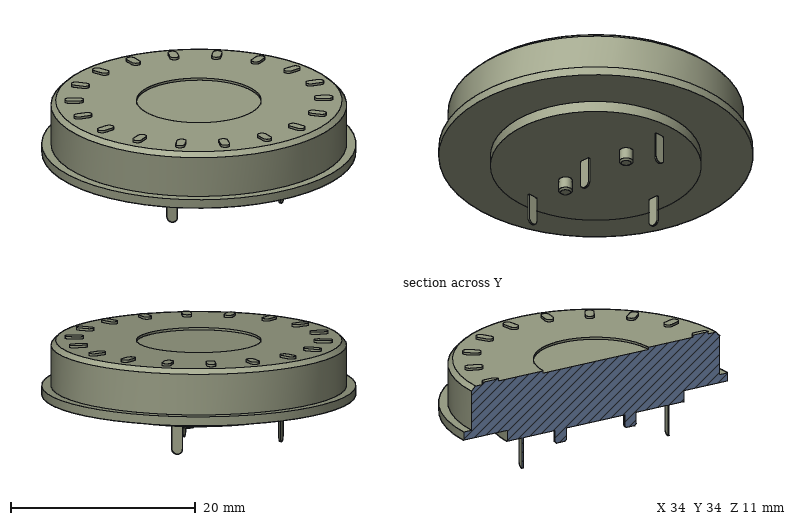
import cadquery as cq

blade_length = 3.5
base_height = 1.25
flange_height = 1.0
body_height = 5.0
rib_height = 0.25

base_bottom = blade_length
flange_bottom = base_bottom + base_height
body_bottom = flange_bottom + flange_height
body_top = body_bottom + body_height

base_diameter = 22.8
flange_diameter = 34.0
body_diameter = 32.0
body_chamfer = 0.5

recess_diameter = 13.5
recess_depth = 0.25

rib_count = 18
rib_length = 2.0
rib_width = 1.0
rib_ring_radius = 13.5

peg_diameter = 1.5
peg_length = 1.5
peg_chamfer = 0.2
peg_offset = 4.5

blade_width = 1.2
blade_thickness = 0.2
blade_tip_radius = blade_width / 2
side_blade_offset = 9.4
front_blade_y = -9.18
middle_blade_y = 1.7


def disc(diameter, bottom, height):
    """Upright cylinder on the Z axis."""
    return cq.Workplane("XY").workplane(offset=bottom).circle(diameter / 2).extrude(height)


def make_housing():
    """Base, flange and chamfered body, with the recess cut into the top."""
    base = disc(base_diameter, base_bottom, base_height)
    flange = disc(flange_diameter, flange_bottom, flange_height)
    body = disc(body_diameter, body_bottom, body_height).faces(">Z").chamfer(body_chamfer)
    recess = disc(recess_diameter, body_top - recess_depth, recess_depth)
    return base.union(flange).union(body).cut(recess)


def make_ribs():
    """Radial ribs, evenly spaced around the top face."""
    return (
        cq.Workplane("XY")
        .workplane(offset=body_top)
        .polarArray(rib_ring_radius, 0, 360, rib_count)
        .slot2D(rib_length, rib_width)
        .extrude(rib_height)
    )


def make_pegs():
    """Pair of pegs on the X axis, chamfered at their lower ends."""
    return (
        cq.Workplane("XY")
        .workplane(offset=base_bottom)
        .pushPoints([(-peg_offset, 0), (peg_offset, 0)])
        .circle(peg_diameter / 2)
        .extrude(-peg_length)
        .faces("<Z")
        .chamfer(peg_chamfer)
    )


def make_blade(x, y, turn):
    """Blade with a half-round tip; its wide face looks along Y before turning about Z."""
    return (
        cq.Workplane("XZ")
        .moveTo(-blade_tip_radius, blade_length)
        .lineTo(-blade_tip_radius, blade_tip_radius)
        .threePointArc((0, 0), (blade_tip_radius, blade_tip_radius))
        .lineTo(blade_tip_radius, blade_length)
        .close()
        .extrude(blade_thickness / 2, both=True)
        .rotate((0, 0, 0), (0, 0, 1), turn)
        .translate((x, y, 0))
    )


blade_placements = [
    (0, front_blade_y, 0),
    (0, middle_blade_y, 0),
    (-side_blade_offset, 0, 90),
    (side_blade_offset, 0, 90),
]

result = make_housing().union(make_ribs()).union(make_pegs())
for x, y, turn in blade_placements:
    result = result.union(make_blade(x, y, turn))